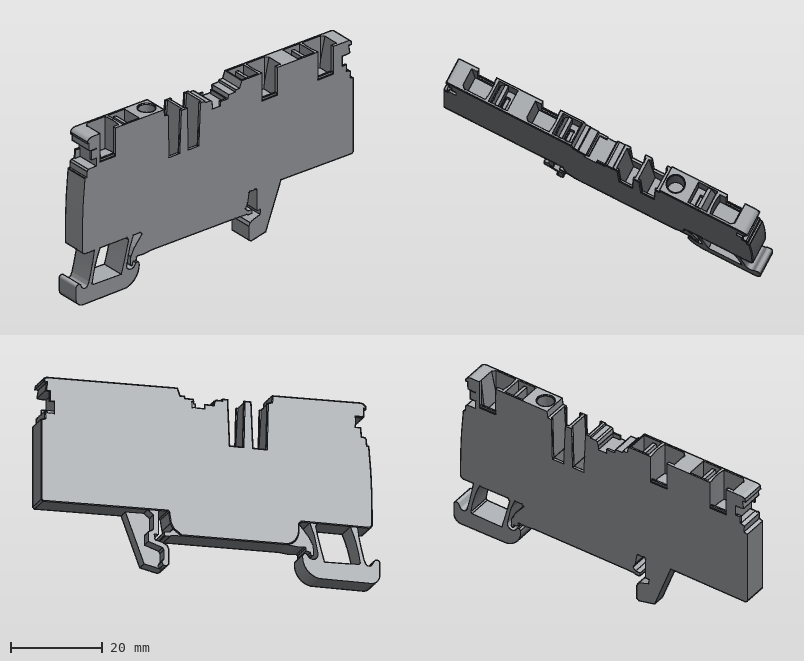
import cadquery as cq


WIDTH = 6.1
FOOT_INSET = 0.2
RIM_CHAMFER = 0.2
BEVEL_ANGLE = 45
SKIN = 0.6
INNER_X = WIDTH - SKIN
CLAW_WEB = 3.1

CLEARANCE = 1.0

REAR_Y = 77.78
FRONT_Y = 1.75
REAR_TOP_Z = 41.0
FRONT_TOP_Z = 41.77
BRIDGE_TOP_Z = 39.5
STAIR_FLOOR_Z = 37.85
REAR_BASE_Z = 11.95
REAR_BASE_CHAMFER = 0.4
BASE_Z = 12.55
FRONT_BASE_Z = 13.2
RAIL_SEAT_Z = 7.2
RAIL_SEAT_FRONT_Z = 7.6

SLOT_FLOOR_Z = 28.95
SLOT_PITCH = 5.35
SLOT_MOUTH = (31.2, 34.9)
SLOT_BASE = (31.45, 34.45)
SLOT_INNER_MOUTH = (30.85, 35.5)
SLOT_INNER_BASE = (31.8, 33.9)
SLOT_INNER_FLOOR_Z = 23.0

SHAFT_LENGTH = 6.05
SHAFT_SLOPE = 0.9
SHAFT_DEPTH = 8.0
SHAFT_BOW = 0.25
SHAFT_LEFT_X = 0.65
SHAFT_RIGHT_X = 5.35
SHAFT_CORNER = 0.7
SIDE_POST = 1.5
SIDE_GAP_DEPTH = 6.5
SIDE_LEDGE_X = 5.75
SIDE_LEDGE_DROP = 0.5
FUNNEL_OFFSET = 0.55
FUNNEL_LENGTH = 4.65
FUNNEL_RIGHT_X = 5.7
FUNNEL_DEPTH = 6.0
WIRE_HOLE_X = (1.6, 4.4)
WIRE_HOLE_START = 3.1
WIRE_HOLE_LENGTH = 0.95
WIRE_HOLE_DEPTH = 2.0
BAR_START = 2.05
BAR_END = 2.85
BAR_DEPTH = 0.9
BAR_RAMP_START = 1.0
BAR_RAMP_DEPTH = 4.0
CLAMPS = [(67.6, 1, 40.65), (51.9, 1, 40.9), (12.8, -1, 41.6)]

PROBE_Y = 22.25
PROBE_TOP_Z = 41.4
PROBE_DIAMETER = 3.8
PROBE_DEPTH = 8.0
PROBE_CHAMFER = 0.2

MARKER_SKIN = 0.5
MARKER_RECESSES = [
    (
        ((38.3, 42.25), (36.8, 40.0)),
        ((40.15, 43.2), (36.8, 38.2)),
        ((40.5, 42.25), (36.8, 37.95)),
    ),
    (
        ((4.0, 5.7), (34.0, 38.4)),
        ((4.0, 5.7), (36.0, 38.6)),
        ((4.35, 5.7), (36.0, 38.3)),
    ),
    (
        ((74.7, 76.5), (33.0, 37.2)),
        ((74.7, 76.5), (32.3, 35.1)),
        ((74.7, 75.85), (33.0, 34.7)),
    ),
]


def prism(points, x_start, x_end):
    """Solid between two X positions from an outline of (y, z) points."""
    outline = cq.Workplane("YZ", origin=(x_start, 0, 0)).polyline(points).close()
    return outline.extrude(x_end - x_start)


def line_through(outline, points):
    """Continue an outline with straight lines to each of the points."""
    for point in points:
        outline = outline.lineTo(*point)
    return outline


def box(x_range, y_range, z_range):
    """Axis-aligned block from three (low, high) ranges."""
    size = [high - low for low, high in (x_range, y_range, z_range)]
    corner = (x_range[0], y_range[0], z_range[0])
    return cq.Workplane("XY").box(*size, centered=False).translate(corner)


def slot_cutter(mouth, base, floor, x_start, x_end):
    """Tapered slot, open at the top, with its mouth and base given as Y ranges."""
    points = [
        (base[0], floor),
        (base[1], floor),
        (mouth[1], BRIDGE_TOP_Z),
        (mouth[1], FRONT_TOP_Z),
        (mouth[0], FRONT_TOP_Z),
        (mouth[0], BRIDGE_TOP_Z),
    ]
    return prism(points, x_start, x_end)


def shifted(y_range, distance):
    return tuple(y - distance for y in y_range)


def make_housing():
    rear_end = [
        (77.15, 40.1),
        (77.3, 39.3),
        (76.5, 39.25),
        (76.8, 37.35),
        (75.85, 37.2),
        (75.85, 33.1),
        (77.0, 32.6),
        (76.9, 31.0),
        (REAR_Y, 30.7),
        (REAR_Y, REAR_BASE_Z + REAR_BASE_CHAMFER),
        (REAR_Y - REAR_BASE_CHAMFER, REAR_BASE_Z),
    ]
    underside = [
        (48.8, BASE_Z),
        (48.5, 12.3),
        (48.1, 9.77),
        (47.5, 8.6),
        (45.6, RAIL_SEAT_Z),
    ]
    rail_corner_start = (21.2, RAIL_SEAT_FRONT_Z)
    rail_corner_middle = (19.3, 8.8)
    rail_corner_end = (18.6, 10.7)
    front_base = [
        (18.6, 12.5),
        (18.0, 13.1),
        (2.7, FRONT_BASE_Z),
    ]
    front_foot_middle = (2.0, 13.5)
    front_face_base = (FRONT_Y, 14.2)
    front_face_middle = (1.85, 22.5)
    front_face_top = (2.5, 31.9)
    front_recess = [
        (2.6, 32.05),
        (3.0, 32.1),
        (3.1, 33.5),
        (3.45, 33.95),
        (4.2, 34.0),
        (4.35, 35.6),
        (4.35, 38.35),
        (3.7, 38.55),
        (3.65, 40.4),
        (3.15, 40.45),
        (3.15, 40.9),
    ]
    nose_middle = (3.6, 41.42)
    nose_top = (4.6, FRONT_TOP_Z)
    bridge_edge = [
        (24.7, 41.4),
        (24.9, 39.8),
        (25.75, 39.65),
        (26.05, BRIDGE_TOP_Z),
        (36.15, BRIDGE_TOP_Z),
        (36.3, 39.1),
        (37.6, 39.1),
        (38.05, 38.8),
        (38.25, STAIR_FLOOR_Z),
    ]
    staircase = [
        (42.6, STAIR_FLOOR_Z),
        (42.85, 38.8),
        (44.7, 38.8),
        (44.85, 39.3),
        (45.85, 39.3),
        (46.45, REAR_TOP_Z),
    ]
    rear_corner_start = (76.0, 40.5)
    rear_corner_middle = (76.65, 40.42)
    outline = cq.Workplane("YZ", origin=(RIM_CHAMFER, 0, 0)).moveTo(*rear_end[0])
    outline = line_through(outline, rear_end[1:] + underside + [rail_corner_start])
    outline = outline.threePointArc(rail_corner_middle, rail_corner_end)
    outline = line_through(outline, front_base)
    outline = outline.threePointArc(front_foot_middle, front_face_base)
    outline = outline.threePointArc(front_face_middle, front_face_top)
    outline = line_through(outline, front_recess)
    outline = outline.threePointArc(nose_middle, nose_top)
    outline = line_through(outline, bridge_edge + staircase + [rear_corner_start])
    outline = outline.threePointArc(rear_corner_middle, rear_end[0])
    housing = outline.close().extrude(WIDTH - RIM_CHAMFER)

    for shift in (0, SLOT_PITCH):
        mouth = shifted(SLOT_MOUTH, shift)
        base = shifted(SLOT_BASE, shift)
        housing = housing.cut(slot_cutter(mouth, base, SLOT_FLOOR_Z, 0, WIDTH))
    rim_outline = housing.faces("<X").wires().toPending()
    rim = rim_outline.extrude(-RIM_CHAMFER, taper=BEVEL_ANGLE, combine=False)
    return housing.union(rim)


def cut_inner_slots(body):
    for shift in (0, SLOT_PITCH):
        mouth = shifted(SLOT_INNER_MOUTH, shift)
        base = shifted(SLOT_INNER_BASE, shift)
        body = body.cut(slot_cutter(mouth, base, SLOT_INNER_FLOOR_Z, SKIN, INNER_X))
    return body


def cut_clamp(body, inner_end, direction, top):
    """Screwdriver shaft with a sloped outer wall, and the wire funnel with its clamp bar and wire hole."""
    above = FRONT_TOP_Z + CLEARANCE

    def y_at(distance):
        return inner_end + direction * distance

    def y_range(start, length):
        return tuple(sorted((y_at(start), y_at(start + length))))

    middle_x = (SHAFT_LEFT_X + SHAFT_RIGHT_X) / 2
    floor = top - SHAFT_DEPTH
    profile = [
        (y_at(0), floor),
        (y_at(SHAFT_LENGTH - SHAFT_SLOPE), floor),
        (y_at(SHAFT_LENGTH), top),
        (y_at(SHAFT_LENGTH), above),
        (y_at(0), above),
    ]
    shaft = prism(profile, SHAFT_LEFT_X, SHAFT_RIGHT_X)
    plan = (
        cq.Workplane("XY", origin=(0, 0, floor))
        .moveTo(SHAFT_LEFT_X, y_at(SHAFT_BOW))
        .threePointArc((middle_x, y_at(0)), (SHAFT_RIGHT_X, y_at(SHAFT_BOW)))
        .lineTo(SHAFT_RIGHT_X, y_at(SHAFT_LENGTH))
        .lineTo(SHAFT_LEFT_X + SHAFT_CORNER, y_at(SHAFT_LENGTH))
        .lineTo(SHAFT_LEFT_X, y_at(SHAFT_LENGTH - SHAFT_CORNER))
        .close()
        .extrude(above - floor)
    )
    body = body.cut(shaft.intersect(plan))
    shaft_low, shaft_high = y_range(SHAFT_BOW, SHAFT_LENGTH - SHAFT_BOW)
    gap_y = (shaft_low, shaft_high - SIDE_POST)
    body = body.cut(box((SHAFT_RIGHT_X, WIDTH), gap_y, (top - SIDE_GAP_DEPTH, above)))
    ledge_floor = top - SIDE_GAP_DEPTH - SIDE_LEDGE_DROP
    body = body.cut(box((SIDE_LEDGE_X, WIDTH), gap_y, (ledge_floor, above)))

    funnel_floor = top - FUNNEL_DEPTH
    funnel_y = y_range(-FUNNEL_OFFSET, -FUNNEL_LENGTH)
    funnel = box((SHAFT_LEFT_X, FUNNEL_RIGHT_X), funnel_y, (funnel_floor, above))
    bar_profile = [
        (y_at(-BAR_END), funnel_floor),
        (y_at(-BAR_END), top - BAR_DEPTH),
        (y_at(-BAR_START), top - BAR_DEPTH),
        (y_at(-BAR_RAMP_START), top - BAR_RAMP_DEPTH),
        (y_at(-BAR_RAMP_START), funnel_floor),
    ]
    body = body.cut(funnel.cut(prism(bar_profile, SHAFT_LEFT_X, FUNNEL_RIGHT_X)))

    hole_y = y_range(-WIRE_HOLE_START, -WIRE_HOLE_LENGTH)
    return body.cut(box(WIRE_HOLE_X, hole_y, (funnel_floor - WIRE_HOLE_DEPTH, funnel_floor)))


def cut_probe_hole(body):
    radius = PROBE_DIAMETER / 2
    rim_radius = radius + PROBE_CHAMFER
    start = cq.Workplane("XY", origin=(WIDTH / 2, PROBE_Y, PROBE_TOP_Z))
    hole = start.circle(radius).extrude(-PROBE_DEPTH)
    countersink = start.circle(rim_radius).extrude(-PROBE_CHAMFER, taper=BEVEL_ANGLE)
    opening = start.circle(rim_radius).extrude(CLEARANCE)
    return body.cut(hole).cut(countersink).cut(opening)


def cut_marker_recess(body, recess, notch, tab):
    """Recess open to +X but for a tab there, with a notch through the -X skin."""
    pocket = box((MARKER_SKIN, WIDTH), *recess)
    pocket = pocket.cut(box((WIDTH - MARKER_SKIN, WIDTH), *tab))
    return body.cut(pocket).cut(box((0, MARKER_SKIN), *notch))


def make_fixed_claw():
    """Rigid hook at the rear of the rail recess: a full-width rim with a web behind it on the +X side."""
    hook_face = [
        (49.05, 0),
        (48.45, 0.45),
        (48.45, 3.9),
        (48.8, 4.7),
        (49.7, 5.2),
        (51.6, 5.8),
        (51.75, 7.0),
        (50.8, 7.05),
        (50.8, 12.1),
        (50.4, 13.0),
    ]
    rim_back = [
        (53.4, 13.0),
        (53.35, 12.5),
        (51.97, 11.4),
        (51.97, 8.15),
        (53.15, 7.4),
        (53.15, 5.2),
        (49.85, 4.1),
        (49.6, 3.6),
        (49.6, 1.55),
        (50.05, 0.8),
        (49.7, 0.15),
    ]
    web_back = [(57.6, 13.0), (57.46, 12.3), (53.2, 0.9)]
    rim = prism(hook_face + rim_back, FOOT_INSET, WIDTH)
    web = prism(hook_face + web_back, WIDTH - CLAW_WEB, WIDTH)
    return rim.union(web)


def make_rail_seat():
    """Middle of the foot: the rear lip and the front hook that hold the rail edges."""
    rear_lip = [
        (47.3, 9.0),
        (47.65, 8.4),
        (48.2, 7.85),
        (49.4, 7.77),
        (49.4, 7.0),
        (49.2, 6.85),
        (48.2, 6.85),
        (47.9, 7.1),
        (45.6, RAIL_SEAT_Z),
    ]
    front_hook = [
        (21.2, RAIL_SEAT_FRONT_Z),
        (18.85, 7.35),
        (17.3, 7.5),
        (16.95, 7.3),
        (16.95, 6.6),
        (15.9, 6.4),
        (15.85, 5.8),
        (15.5, 5.6),
        (15.2, 5.95),
        (15.35, 8.0),
        (16.35, 9.9),
        (18.4, 12.4),
        (18.7, 13.0),
    ]
    return prism(rear_lip + front_hook, FOOT_INSET, WIDTH)


def make_spring_foot():
    """Sprung claw at the front: a heavy base hung from two slanting legs."""
    outline = (
        cq.Workplane("YZ", origin=(FOOT_INSET, 0, 0))
        .moveTo(16.2, 13.4)
        .lineTo(15.05, 10.35)
        .lineTo(14.2, 6.25)
        .threePointArc((15.2, 4.87), (16.3, 5.2))
        .lineTo(16.8, 5.95)
        .lineTo(17.3, 6.05)
        .lineTo(17.7, 5.65)
        .threePointArc((16.5, 2.0), (14.0, 0.6))
        .lineTo(2.0, 0.65)
        .threePointArc((0.55, 1.3), (0, 2.8))
        .lineTo(0, 5.5)
        .threePointArc((0.65, 6.15), (1.25, 5.9))
        .lineTo(1.8, 4.95)
        .threePointArc((2.6, 4.6), (3.25, 5.0))
        .lineTo(3.6, 5.8)
        .threePointArc((4.5, 9.5), (5.2, 13.4))
        .close()
    )
    foot = outline.extrude(WIDTH - FOOT_INSET)
    window = (
        cq.Workplane("YZ")
        .moveTo(6.8, 13.2)
        .lineTo(6.1, 11.5)
        .threePointArc((5.2, 8.6), (4.5, 5.07))
        .lineTo(4.8, 4.72)
        .lineTo(12.7, 4.5)
        .threePointArc((13.75, 8.3), (14.75, 12.4))
        .lineTo(14.3, 13.2)
        .close()
        .extrude(WIDTH)
    )
    return foot.cut(window)


body = make_housing()
body = cut_inner_slots(body)
for inner_end, direction, top in CLAMPS:
    body = cut_clamp(body, inner_end, direction, top)
body = cut_probe_hole(body)
for recess, notch, tab in MARKER_RECESSES:
    body = cut_marker_recess(body, recess, notch, tab)
for foot_part in (make_fixed_claw(), make_rail_seat(), make_spring_foot()):
    body = body.union(foot_part)

result = body